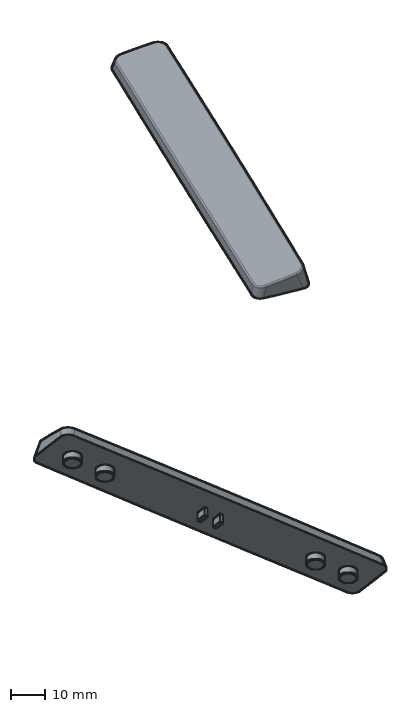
import cadquery as cq
import math

length = 117.9
width = 18.0
draft_angle = 10.0

top_tilt = 9.0
centre_height = 4.8
crown = 0.14
edge_round = 0.6

base_corner = 2.6
upper_corner = 3.8
base_side_bow = 0.18
upper_side_bow = 0.2
base_end_bow = 0.1
upper_end_bow = 0.4

stem_diameter = 5.5
stem_height = 2.5
stem_chamfer = 0.2
outer_stem_x = 50.1
inner_stem_x = 38.3
clip_thickness = 1.2
clip_width = 3.5
clip_height = 2.8
clip_x = 2.8

blank_height = 7.1
overlap = 0.6


def bowed_outline(outline_length, outline_width, side_bow, end_bow, corner_radius):
    """Rounded rectangle whose sides bow outwards to the given overall size."""
    half_length = outline_length / 2
    half_width = outline_width / 2
    corner_x = half_length - end_bow
    corner_y = half_width - side_bow
    return (
        cq.Sketch()
        .arc((-corner_x, -corner_y), (0, -half_width), (corner_x, -corner_y))
        .arc((corner_x, -corner_y), (half_length, 0), (corner_x, corner_y))
        .arc((corner_x, corner_y), (0, half_width), (-corner_x, corner_y))
        .arc((-corner_x, corner_y), (-half_length, 0), (-corner_x, -corner_y))
        .assemble()
        .vertices()
        .fillet(corner_radius)
    )


def make_body():
    """Tapered bar trimmed by a sloping top face with a rounded rim."""
    shrink = 2 * blank_height * math.tan(math.radians(draft_angle))
    base = bowed_outline(length, width, base_side_bow, base_end_bow, base_corner)
    upper = bowed_outline(
        length - shrink, width - shrink, upper_side_bow, upper_end_bow, upper_corner
    )
    blank = (
        cq.Workplane("XY")
        .placeSketch(base, upper.moved(cq.Location(cq.Vector(0, 0, blank_height))))
        .loft()
    )
    trim = (
        cq.Workplane("XZ")
        .moveTo(-length / 2, -crown)
        .threePointArc((0, 0), (length / 2, -crown))
        .lineTo(length / 2, blank_height)
        .lineTo(-length / 2, blank_height)
        .close()
        .extrude(width, both=True)
        .rotate((0, 0, 0), (1, 0, 0), top_tilt)
        .translate((0, 0, centre_height))
    )
    return blank.cut(trim).faces(">Z").edges().fillet(edge_round)


def make_stems():
    """Four round stems with chamfered tips."""
    centres = [(side * x, 0) for side in (-1, 1) for x in (inner_stem_x, outer_stem_x)]
    return (
        cq.Workplane("XY")
        .workplane(offset=-stem_height)
        .pushPoints(centres)
        .circle(stem_diameter / 2)
        .extrude(stem_height + overlap)
        .faces("<Z")
        .edges()
        .chamfer(stem_chamfer)
    )


def make_clips():
    """Two flat clips at the middle of the bar."""
    return (
        cq.Workplane("XY")
        .workplane(offset=-clip_height)
        .pushPoints([(-clip_x, 0), (clip_x, 0)])
        .rect(clip_thickness, clip_width)
        .extrude(clip_height + overlap)
    )


result = make_body().union(make_stems()).union(make_clips())